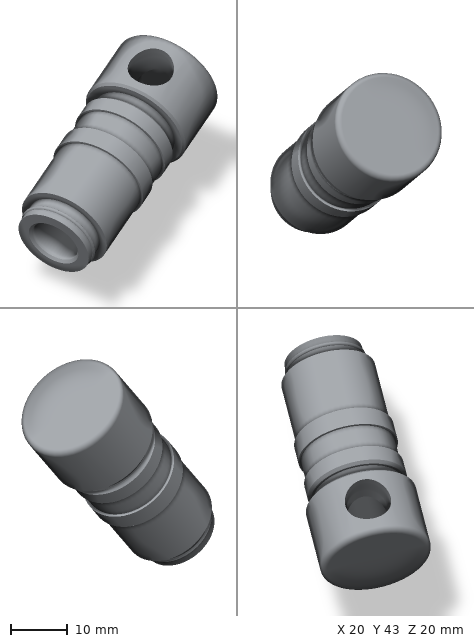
import cadquery as cq

total_length = 43.0

head_end = 13.0
neck_end = 15.0
front_collar_end = 18.4
rear_collar_start = 23.0
rear_collar_end = 26.5
body_end = 39.0
ring_place = 41.3

head_diameter = 20.0
neck_diameter = 16.0
collar_diameter = 18.0
body_diameter = 17.03
spigot_diameter = 14.1
ring_diameter = 14.7
bore_diameter = 8.15
counterbore_diameter = 9.05
mouth_diameter = 9.98

head_fillet = 1.0
head_chamfer = 0.45
collar_chamfer = 0.5
ring_wire_radius = 0.4

port_place = 6.95
port_diameter = bore_diameter
bore_floor = port_place - port_diameter / 2
counterbore_start = 21.8
mouth_depth = (mouth_diameter - counterbore_diameter) / 2

half_length = total_length / 2


def cylinder(diameter, start, end):
    """Solid cylinder on the Y axis between two axial places."""
    return (
        cq.Workplane("XZ", origin=(0, half_length - start, 0))
        .circle(diameter / 2)
        .extrude(end - start)
    )


head = cylinder(head_diameter, 0, head_end)
head = head.faces(">Y").edges().fillet(head_fillet)
head = head.faces("<Y").edges().chamfer(head_chamfer)

front_collar = cylinder(collar_diameter, neck_end, front_collar_end)
front_collar = front_collar.faces(">Y").edges().chamfer(collar_chamfer)
shank = (
    cylinder(neck_diameter, head_end, neck_end)
    .union(front_collar)
    .union(cylinder(body_diameter, front_collar_end, body_end))
    .union(cylinder(collar_diameter, rear_collar_start, rear_collar_end))
    .union(cylinder(spigot_diameter, body_end, total_length))
)

ring_centre_radius = ring_diameter / 2 - ring_wire_radius
ring = cq.Workplane(
    cq.Solid.makeTorus(
        ring_centre_radius,
        ring_wire_radius,
        cq.Vector(0, half_length - ring_place, 0),
        cq.Vector(0, 1, 0),
    )
)

counterbore = cylinder(counterbore_diameter, counterbore_start, total_length)
mouth = cq.Workplane(
    cq.Solid.makeCone(
        counterbore_diameter / 2,
        mouth_diameter / 2,
        mouth_depth,
        cq.Vector(0, mouth_depth - half_length, 0),
        cq.Vector(0, -1, 0),
    )
)
bore = cylinder(bore_diameter, bore_floor, total_length).union(counterbore).union(mouth)

port = (
    cq.Workplane("XY", origin=(0, half_length - port_place, 0))
    .circle(port_diameter / 2)
    .extrude(head_diameter / 2)
)

result = head.union(shank).union(ring).cut(bore).cut(port)